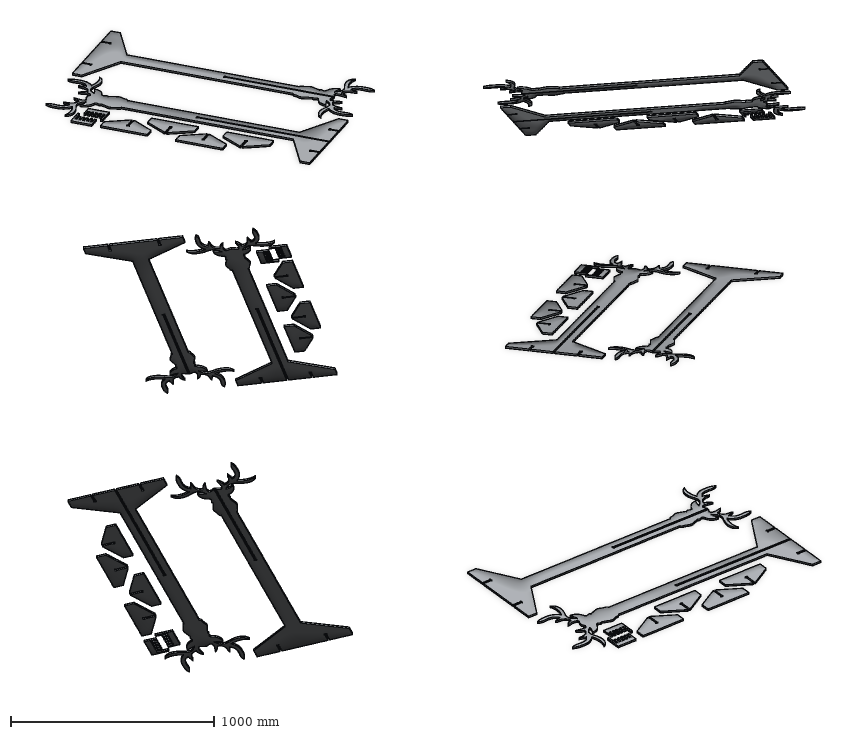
import cadquery as cq
import math


SHEET_LENGTH = 1450.0
SHEET_WIDTH = 982.0
THICKNESS = 10.0
SLOT_WIDTH = 9.0
RELIEF_RADIUS = 3.0

BASE_WIDTH = 500.0
BASE_EDGE = 51.0
FLARE_END = 173.0
NECK_WIDTH = 80.0
NECK_END = 1086.0
HEAD_TOP = 1286.0
HALVING_SLOT_END = 703.0
FOOT_SLOT_OFFSET = BASE_WIDTH / 4
FOOT_SLOT_DEPTH = BASE_EDGE
LOWER_DEER_Y = 271.0

FOOT_COUNT = 4
FOOT_LENGTH = 250.0
FOOT_HEIGHT = 117.0
FOOT_SIDE_HEIGHT = 50.0
FOOT_TOP_WIDTH = 17.0
FOOT_NOTCH_DEPTH = FOOT_HEIGHT - FOOT_SLOT_DEPTH
FIRST_FOOT_X = 470.0
FOOT_PITCH = 200.0
LOWER_FOOT_BASE_Y = 5.0
UPPER_FOOT_BASE_Y = 178.0

COMB_TEETH = 5
COMB_TOOTH_WIDTH = THICKNESS
COMB_PITCH = 2 * COMB_TOOTH_WIDTH
COMB_LENGTH = COMB_TEETH * COMB_PITCH + COMB_TOOTH_WIDTH
COMB_BACK = 30.0
COMB_TOOTH_HEIGHT = 61.0
COMB_ARM_HEIGHT = 90.0
LOWER_COMB_X = 190.0
UPPER_COMB_X = 329.0
UPPER_COMB_Y = 158.0

HEAD_RUNS = [
    [(1093.0, 48.0), (1110.0, 52.0), (1134.0, 61.0), (1163.0, 55.0), (1192.0, 45.0)],
    [(1200.0, 50.0), (1210.0, 46.0), (1227.0, 50.0)],
    [(1238.0, 72.0), (1253.0, 85.0), (1285.0, 93.0)],
    [(1275.0, 72.0), (1270.0, 51.0)],
    [(1285.0, 62.0), (1296.0, 75.0), (1300.0, 99.0), (1289.0, 133.0), (1282.0, 177.0), (1289.0, 203.0), (1311.0, 222.0)],
    [(1300.0, 188.0), (1302.0, 160.0), (1312.0, 125.0)],
    [(1328.0, 139.0), (1357.0, 154.0), (1385.0, 157.0), (1414.0, 155.0), (1445.0, 144.0)],
    [(1430.0, 136.0), (1378.0, 136.0), (1351.0, 129.0), (1334.0, 109.0)],
    [(1351.0, 103.0), (1370.0, 97.0)],
    [(1355.0, 93.0), (1337.0, 91.0), (1314.0, 78.0), (1306.0, 55.0)],
    [(1322.0, 50.0), (1343.0, 32.0)],
    [(1320.0, 36.0), (1302.0, 39.0), (1282.0, 35.0)],
    [(1282.0, 17.0), (HEAD_TOP, 9.0), (HEAD_TOP, 0.0)],
]


def box(x_min, x_max, y_min, y_max):
    """Block of sheet thickness between the given limits."""
    return (
        cq.Workplane("XY")
        .box(x_max - x_min, y_max - y_min, THICKNESS, centered=False)
        .translate((x_min, y_min, 0))
    )


def slot(open_end, closed_end, y):
    """Cutter for a slot along x, centred on y, with relief at its closed end."""
    cutter = box(
        min(open_end, closed_end), max(open_end, closed_end), y - SLOT_WIDTH / 2, y + SLOT_WIDTH / 2
    )
    relief_x = closed_end + math.copysign(RELIEF_RADIUS, open_end - closed_end)
    for side in (-1, 1):
        relief = cq.Workplane("XY").circle(RELIEF_RADIUS).extrude(THICKNESS)
        cutter = cutter.union(relief.translate((relief_x, y + side * SLOT_WIDTH / 2, 0)))
    return cutter


def place(body, x, y, turned):
    """Move a body to (x, y), turned half a revolution first if asked."""
    angle = 180 if turned else 0
    return body.rotate((0, 0, 0), (0, 0, 1), angle).translate((x, y, 0))


def deer_half():
    """Half of the deer plate on the +y side, without slots."""
    outline = (
        cq.Workplane("XY")
        .lineTo(0, BASE_WIDTH / 2)
        .lineTo(BASE_EDGE, BASE_WIDTH / 2)
        .lineTo(FLARE_END, NECK_WIDTH / 2)
        .lineTo(NECK_END, NECK_WIDTH / 2)
    )
    for run in HEAD_RUNS:
        outline = outline.spline(run, includeCurrent=True)
    return outline.close().extrude(THICKNESS)


def deer(open_end):
    """Deer plate with two foot slots and a halving slot that opens at x = open_end."""
    half = deer_half()
    plate = half.union(half.mirror("XZ"))
    for side in (-1, 1):
        plate = plate.cut(slot(0, FOOT_SLOT_DEPTH, side * FOOT_SLOT_OFFSET))
    return plate.cut(slot(open_end, HALVING_SLOT_END, 0))


def foot():
    """Foot with its base centred on the origin and a notch in its top."""
    plate = (
        cq.Workplane("XY")
        .moveTo(-FOOT_LENGTH / 2, 0)
        .lineTo(FOOT_LENGTH / 2, 0)
        .lineTo(FOOT_LENGTH / 2, FOOT_SIDE_HEIGHT)
        .lineTo(FOOT_TOP_WIDTH / 2, FOOT_HEIGHT)
        .lineTo(-FOOT_TOP_WIDTH / 2, FOOT_HEIGHT)
        .lineTo(-FOOT_LENGTH / 2, FOOT_SIDE_HEIGHT)
        .close()
        .extrude(THICKNESS)
    )
    notch = slot(FOOT_HEIGHT, FOOT_HEIGHT - FOOT_NOTCH_DEPTH, 0)
    return plate.cut(notch.rotate((0, 0, 0), (0, 0, 1), 90))


def comb():
    """Comb with the back along y = 0 and the long arm at x = 0."""
    body = box(0, COMB_LENGTH, 0, COMB_BACK)
    body = body.union(box(0, COMB_TOOTH_WIDTH, 0, COMB_ARM_HEIGHT))
    for i in range(COMB_TEETH):
        x = (i + 1) * COMB_PITCH
        body = body.union(box(x, x + COMB_TOOTH_WIDTH, 0, COMB_TOOTH_HEIGHT))
    return body


upper_deer = place(deer(HEAD_TOP), 0, SHEET_WIDTH - BASE_WIDTH / 2, False)
lower_deer = place(deer(0), SHEET_LENGTH, LOWER_DEER_Y, True)

feet = []
for i in range(FOOT_COUNT):
    turned = i % 2 == 1
    base_y = UPPER_FOOT_BASE_Y if turned else LOWER_FOOT_BASE_Y
    feet.append(place(foot(), FIRST_FOOT_X + i * FOOT_PITCH, base_y, turned))

combs = [
    place(comb(), LOWER_COMB_X, 0, False),
    place(comb(), UPPER_COMB_X, UPPER_COMB_Y, True),
]

result = cq.Compound.makeCompound(
    [upper_deer.val(), lower_deer.val()]
    + [body.val() for body in feet]
    + [body.val() for body in combs]
)